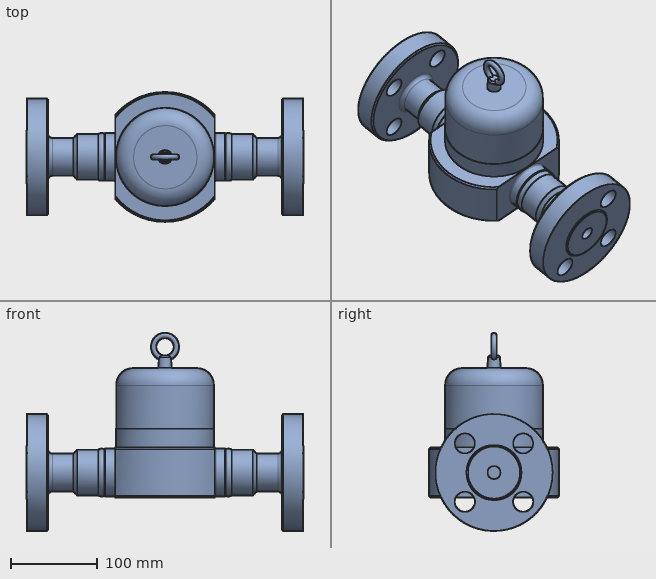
import cadquery as cq
import math

face_to_face = 320.0

body_diameter = 150.0
body_height = 58.0
body_width = 115.0
body_chamfer = 2.0

dome_diameter = 113.0
dome_top = 120.5
dome_corner_radius = 20.0
dome_seam_height = 50.4
seat_diameter = 113.4

eye_top = 161.09
eye_outer_diameter = 32.6
eye_wire_diameter = 6.4
stem_base_diameter = 16.0
stem_shoulder_diameter = 14.0
stem_top_diameter = 10.0
stem_shoulder_height = 133.0
stem_top = 135.2

flange_diameter = 135.0
flange_thickness = 24.5
flange_chamfer = 1.8
raised_face_height = 1.0
raised_face_base_diameter = 63.5
raised_face_diameter = 60.0
bolt_circle_diameter = 95.0
bolt_hole_diameter = 23.0
bolt_angles = (45.0, 135.0, 225.0, 315.0)

pipe_diameter = 44.0
hub_fillet = 4.5
socket_diameter = 53.0
socket_end = 101.0
collar_diameter = 55.5
collar_chamfer = 0.8
collar_root_fillet = 0.8
weld_outer_end = 76.8
weld_inner_end = 69.9
port_diameter = 15.0

joint_overlap = 1.0

flange_front = face_to_face / 2 - raised_face_height
flange_back = flange_front - flange_thickness


def make_body():
    drum = cq.Workplane("XY").circle(body_diameter / 2).extrude(body_height / 2, both=True)
    drum = drum.edges().chamfer(body_chamfer)
    flats = cq.Workplane("XY").box(body_width, body_diameter, body_height)
    return drum.intersect(flats)


def make_dome():
    seat = cq.Workplane("XY").circle(seat_diameter / 2).extrude(dome_seam_height)
    cover = (
        cq.Workplane("XY")
        .workplane(offset=dome_seam_height)
        .circle(dome_diameter / 2)
        .extrude(dome_top - dome_seam_height)
        .faces(">Z")
        .edges()
        .fillet(dome_corner_radius)
    )
    return seat.union(cover)


def make_lifting_eye():
    stem_foot = dome_top - joint_overlap
    stem = (
        cq.Workplane("XZ")
        .moveTo(0, stem_foot)
        .lineTo(stem_base_diameter / 2, stem_foot)
        .lineTo(stem_base_diameter / 2, dome_top)
        .lineTo(stem_shoulder_diameter / 2, stem_shoulder_height)
        .lineTo(stem_top_diameter / 2, stem_top)
        .lineTo(0, stem_top)
        .close()
        .revolve(360, (0, 0, 0), (0, 1, 0))
    )
    ring_radius = (eye_outer_diameter - eye_wire_diameter) / 2
    ring_center = eye_top - eye_outer_diameter / 2
    ring = (
        cq.Workplane("YZ", origin=(0, 0, ring_center))
        .center(0, -ring_radius)
        .circle(eye_wire_diameter / 2)
        .revolve(360, (0, ring_radius, 0), (1, ring_radius, 0))
    )
    return stem.union(ring)


def make_pipe_and_flange():
    """Pipe stub with its flange, turned about +X and rooted inside the body."""
    pipe_radius = pipe_diameter / 2
    socket_radius = socket_diameter / 2
    collar_radius = collar_diameter / 2
    flange_radius = flange_diameter / 2
    cone_end = socket_end + (socket_diameter - pipe_diameter) / 2
    hub_fillet_mid = hub_fillet * (1 - math.sqrt(0.5))
    weld_middle = (weld_inner_end + weld_outer_end) / 2
    body_flat = body_width / 2
    fillet_end = body_flat + collar_root_fillet
    root_fillet_mid = collar_root_fillet * (1 - math.sqrt(0.5))
    root = body_flat - joint_overlap
    return (
        cq.Workplane("XY")
        .moveTo(root, 0)
        .lineTo(root, collar_radius + collar_root_fillet)
        .lineTo(body_flat, collar_radius + collar_root_fillet)
        .threePointArc(
            (body_flat + root_fillet_mid, collar_radius + root_fillet_mid),
            (fillet_end, collar_radius),
        )
        .lineTo(weld_inner_end - collar_chamfer, collar_radius)
        .lineTo(weld_inner_end, collar_radius - collar_chamfer)
        .threePointArc((weld_middle, collar_radius), (weld_outer_end, socket_radius))
        .lineTo(socket_end, socket_radius)
        .lineTo(cone_end, pipe_radius)
        .lineTo(flange_back - hub_fillet, pipe_radius)
        .threePointArc(
            (flange_back - hub_fillet_mid, pipe_radius + hub_fillet_mid),
            (flange_back, pipe_radius + hub_fillet),
        )
        .lineTo(flange_back, flange_radius - flange_chamfer)
        .lineTo(flange_back + flange_chamfer, flange_radius)
        .lineTo(flange_front, flange_radius)
        .lineTo(flange_front, raised_face_base_diameter / 2)
        .lineTo(face_to_face / 2, raised_face_diameter / 2)
        .lineTo(face_to_face / 2, 0)
        .close()
        .revolve(360, (0, 0, 0), (1, 0, 0))
    )


def make_bolt_holes(angles):
    """Cutters along +X for the bolt holes; angles run from +Y towards +Z."""
    radius = bolt_circle_diameter / 2
    centers = [
        (radius * math.cos(math.radians(angle)), radius * math.sin(math.radians(angle)))
        for angle in angles
    ]
    return (
        cq.Workplane("YZ", origin=(flange_back, 0, 0))
        .pushPoints(centers)
        .circle(bolt_hole_diameter / 2)
        .extrude(flange_thickness)
    )


def make_port():
    """Cutter for the blind bore from the flange face to the body flat."""
    port_depth = (face_to_face - body_width) / 2
    return (
        cq.Workplane("YZ", origin=(body_width / 2, 0, 0))
        .circle(port_diameter / 2)
        .extrude(port_depth)
    )


def make_side(angles):
    return make_pipe_and_flange().cut(make_bolt_holes(angles)).cut(make_port())


right_side = make_side(bolt_angles)
left_side = make_side(bolt_angles[1:]).mirror("YZ")

result = (
    make_body()
    .union(make_dome())
    .union(make_lifting_eye())
    .union(right_side)
    .union(left_side)
)